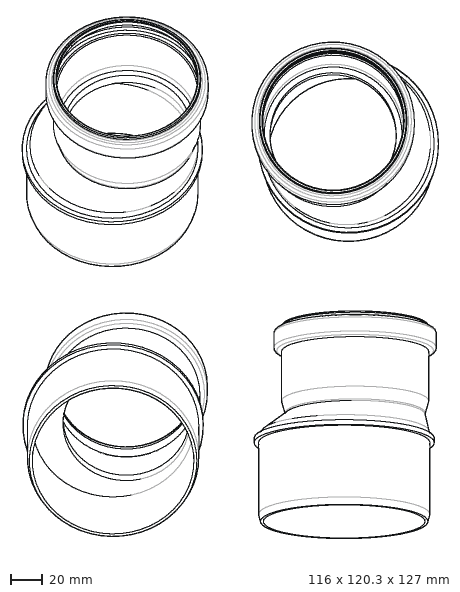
import cadquery as cq


total_height = 127.0
spigot_chamfer_height = 4.6
flange_bottom = 51.7
flange_top = 54.7
blend_middle = 56.5
blend_top = 58.7
neck_bottom = 68.6
neck_top = 69.6
passage_bottom = 66.7
taper_top = 77.5
collar_bottom = 110.0
collar_top = 123.8
socket_floor = 74.7
bore_taper_top = 78.7
groove_bottom = 112.0
groove_wall_bottom = 114.3
groove_wall_top = 121.3
lip_bottom = 123.2

spigot_radius = 110.2 / 2
flange_radius = 116.0 / 2
blend_middle_radius = 54.9
blend_top_radius = 54.0
neck_radius = 90.2 / 2
socket_radius = 94.7 / 2
rim_radius = 95.0 / 2
collar_radius = 104.5 / 2
socket_bore_radius = 90.8 / 2
socket_floor_radius = 44.3
lip_radius = 90.5 / 2
groove_radius = 100.3 / 2
passage_radius = 81.2 / 2

spigot_chamfer_width = 1.3
spigot_wall = 3.2
rim_chamfer_height = 1.0
rim_chamfer_width = 0.5
mouth_chamfer = 0.5
rim_fillet = 1.0
collar_fillet = 1.9
collar_foot_height = 0.8
bore_edge_rise = 0.6
bore_edge_width = 1.0
groove_floor_rise = 1.0
groove_floor_width = 3.2

socket_offset = spigot_radius - neck_radius
spigot_bore_radius = spigot_radius - spigot_wall


def revolve_profile(points, center_y=0):
    """Revolve (radius, height) points about a vertical axis at center_y."""
    profile = cq.Workplane("XZ").polyline(points).close()
    return profile.revolve(360, (0, 0, 0), (0, 1, 0)).translate((0, center_y, 0))


def loft_circles(sections, ruled):
    """Loft through (radius, height, center_y) circles, with straight or smooth sides."""
    circles = [
        cq.Wire.makeCircle(radius, cq.Vector(0, center_y, height), cq.Vector(0, 0, 1))
        for radius, height, center_y in sections
    ]
    return cq.Workplane(obj=cq.Solid.makeLoft(circles, ruled))


def spigot_body():
    return revolve_profile([
        (0, 0),
        (spigot_radius - spigot_chamfer_width, 0),
        (spigot_radius, spigot_chamfer_height),
        (spigot_radius, flange_bottom),
        (flange_radius, flange_bottom),
        (flange_radius, flange_top),
        (0, flange_top),
    ])


def socket_body():
    """Neck taper, socket wall, rounded seal collar and rim."""
    collar_foot = collar_bottom + collar_foot_height
    collar_shoulder_radius = collar_radius - collar_fillet
    lower_edge = collar_foot + collar_fillet
    upper_edge = collar_top - collar_fillet
    profile = (
        cq.Workplane("XZ")
        .moveTo(0, neck_bottom)
        .lineTo(neck_radius, neck_bottom)
        .lineTo(neck_radius, neck_top)
        .lineTo(socket_radius, taper_top)
        .lineTo(socket_radius, collar_bottom)
        .lineTo(collar_shoulder_radius, collar_foot)
        .radiusArc((collar_radius, lower_edge), -collar_fillet)
        .lineTo(collar_radius, upper_edge)
        .radiusArc((collar_shoulder_radius, collar_top), -collar_fillet)
        .lineTo(rim_radius + rim_fillet, collar_top)
        .radiusArc((rim_radius, collar_top + rim_fillet), rim_fillet)
        .lineTo(rim_radius, total_height - rim_chamfer_height)
        .lineTo(rim_radius - rim_chamfer_width, total_height)
        .lineTo(0, total_height)
        .close()
    )
    return profile.revolve(360, (0, 0, 0), (0, 1, 0)).translate((0, socket_offset, 0))


def socket_cavity():
    """Pipe seat with an internal seal groove below the mouth lip."""
    return revolve_profile([
        (0, socket_floor),
        (socket_floor_radius, socket_floor),
        (socket_bore_radius, bore_taper_top),
        (socket_bore_radius, groove_bottom),
        (socket_bore_radius + bore_edge_width, groove_bottom + bore_edge_rise),
        (socket_bore_radius + groove_floor_width, groove_bottom + groove_floor_rise),
        (groove_radius, groove_wall_bottom),
        (groove_radius, groove_wall_top),
        (lip_radius, lip_bottom),
        (lip_radius, total_height - mouth_chamfer),
        (lip_radius + mouth_chamfer, total_height),
        (0, total_height),
    ], socket_offset)


def lower_cavity():
    """Spigot bore, eccentric transition and round passage into the socket."""
    bore = cq.Workplane("XY").circle(spigot_bore_radius).extrude(flange_top)
    transition = loft_circles(
        [(spigot_bore_radius, flange_top, 0), (passage_radius, passage_bottom, socket_offset)],
        ruled=True,
    )
    passage = (
        cq.Workplane("XY", origin=(0, socket_offset, passage_bottom))
        .circle(passage_radius)
        .extrude(socket_floor - passage_bottom)
    )
    return bore.union(transition).union(passage)


def shoulder():
    """Curved blend and oblique cone, all sharing the vertical side at +Y."""
    base, middle, top, neck = [
        (radius, height, spigot_radius - radius)
        for radius, height in [
            (spigot_radius, flange_top),
            (blend_middle_radius, blend_middle),
            (blend_top_radius, blend_top),
            (neck_radius, neck_bottom),
        ]
    ]
    blend = loft_circles([base, middle, top], ruled=False)
    cone = loft_circles([top, neck], ruled=True)
    return blend.union(cone)


outer_body = spigot_body().union(shoulder()).union(socket_body())
result = outer_body.cut(lower_cavity()).cut(socket_cavity())